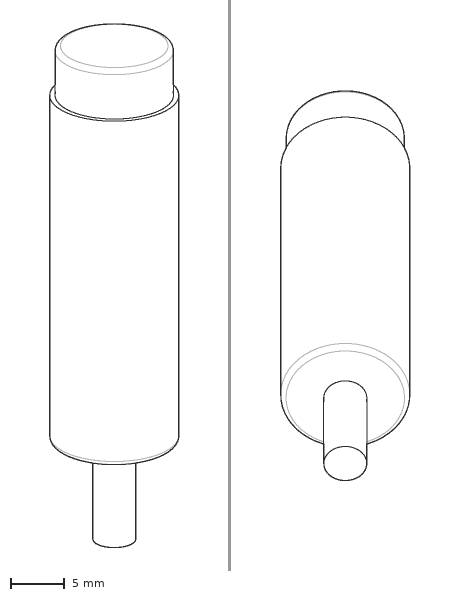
import cadquery as cq

total_length = 50.0

cable_diameter = 4.0
cable_length = 10.0

body_diameter = 12.0

cap_diameter = 11.0
cap_length = 5.0

rim_radius = 0.5

body_length = total_length - cable_length - cap_length


def cylinder(diameter, length, base_height):
    """Upright cylinder on the Z axis, starting at base_height."""
    return cq.Workplane("XY").workplane(offset=base_height).circle(diameter / 2).extrude(length)


cable = cylinder(cable_diameter, cable_length, 0)
body = cylinder(body_diameter, body_length, cable_length).faces("<Z").edges().fillet(rim_radius)
cap = cylinder(cap_diameter, cap_length, cable_length + body_length).faces(">Z").edges().fillet(rim_radius)

result = cable.union(body).union(cap)